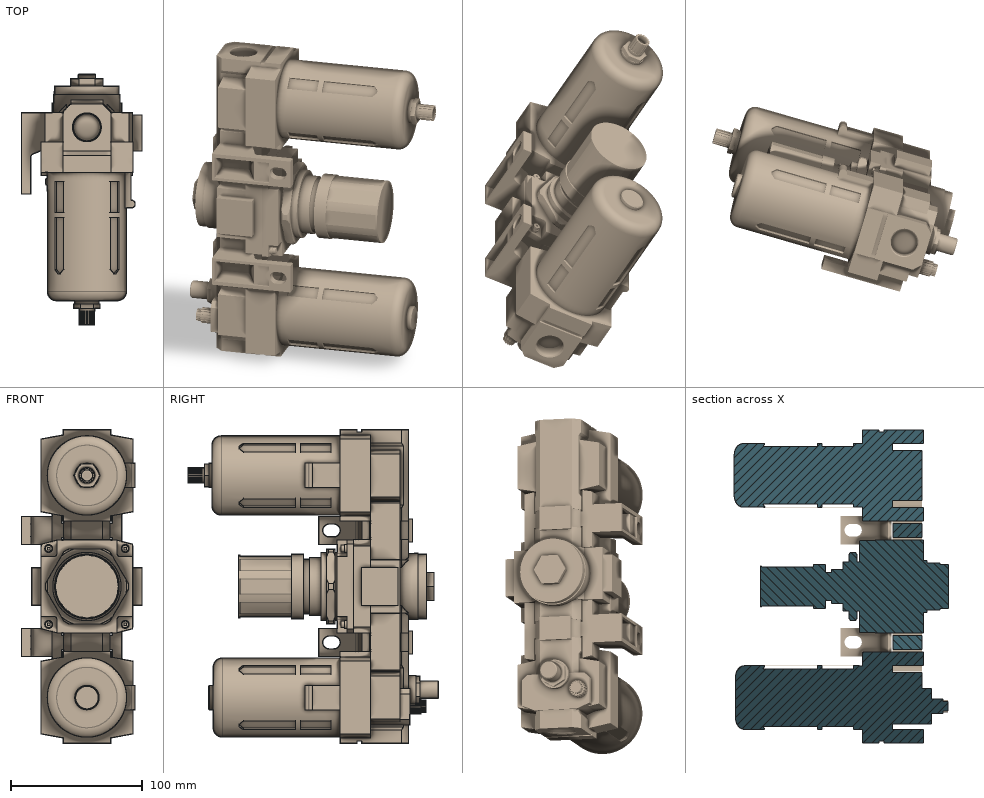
import cadquery as cq
import math


TOTAL_HEIGHT = 238.5
MODULE_HEIGHT = 69.5
SPACER_HEIGHT = 14.0
MODULE_HALF = MODULE_HEIGHT / 2
MODULE_Z = TOTAL_HEIGHT / 2 - MODULE_HALF
REGULATOR_HALF = TOTAL_HEIGHT / 2 - MODULE_HEIGHT - SPACER_HEIGHT
SPACER_Z = REGULATOR_HALF + SPACER_HEIGHT / 2

BODY_HALF_WIDTH = 35.0
DECK_Y = 23.1
SIDE_BLOCK_BACK_Y = 45.5
BACK_Y = 52.0
PORT_Y = 34.3
FLANGE_HALF_WIDTH = 18.0
BACK_CHAMFER = 5.5

BLOCK_SIDE_HALF = 27.7
BLOCK_SHOULDER_HALF = 30.8
SIDE_BLOCK_HALF_WIDTH = 32.0
SIDE_BLOCK_HALF = 16.5
SIDE_BLOCK_INNER_HALF = 19.3
NECK_HALF_WIDTH = 16.7
NECK_HALF = 22.5
UNDERCUT_RISE = 2.5
PORT_DIAMETER = 20.5
PORT_MOUTH_DIAMETER = 22.0
PORT_DEPTH = 10.0
NOTCH_Y = (12.9, 16.2)
NOTCH_DEPTH = 1.7

BOWL_DIAMETER = 60.3
BOWL_ROUND = 7.2
FILTER_BOWL_LENGTH = 97.5
LUBRICATOR_BOWL_LENGTH = 96.5
WINDOW_WIDTH = 9.3
WINDOW_FLOOR_RADIUS = 28.1
WINDOW_POINT = 3.3
WINDOW_TIP_WIDTH = 2.0
SHORT_WINDOW_Y = (-30.3, -7.0)
LONG_WINDOW_Y = (-77.0, -34.0)

LATCH_HALF_HEIGHT = 9.3
LATCH_INNER_X = 28.8
LATCH_OUTER_X = 33.5
LATCH_LIP_X = 36.7
LATCH_LENGTH = 27.0
LATCH_LIP_LENGTH = 6.0
LATCH_LIP_ROUND = 2.9

DRAIN_COLLAR_DIAMETER = 18.5
DRAIN_COLLAR_END = -100.0
DRAIN_HEX_FLATS = 17.5
DRAIN_HEX_END = -103.2
DRAIN_DIAMETER = 12.0
DRAIN_KNURL_START = -105.1
DRAIN_END = -115.9
DRAIN_BORE_DIAMETER = 8.5
DRAIN_BORE_DEPTH = 4.8
KNURL_COUNT = 16
KNURL_WIDTH = 1.0
KNURL_DEPTH = 0.7

BOWL_BOSS_DIAMETER = 18.5
BOWL_BOSS_END = -100.1
BOWL_BOSS_CHAMFER = 0.7
PAD_HALF_WIDTH = 26.5
PAD_BACK_Y = 53.0
PAD_TOP = 7.0
PAD_TOP_SIDE = 2.9
PAD_TOP_HALF_WIDTH = 22.5
PAD_BOTTOM_SIDE = -16.7
PAD_BOTTOM = -20.7
SIGHT_OFFSET = 6.0
SIGHT_BASE_DIAMETER = 22.0
SIGHT_BASE_END = 57.5
SIGHT_HEX_CORNERS = 20.5
SIGHT_HEX_END = 60.5
SIGHT_DIAMETER = 13.4
SIGHT_END = 74.9
SIGHT_CHAMFER = 0.7
DIAL_X = -19.0
DIAL_OFFSET = -6.7
DIAL_BASE_DIAMETER = 12.0
DIAL_BASE_END = 61.5
DIAL_DIAMETER = 9.5
DIAL_END = 65.3

REGULATOR_BLOCK_HALF = 30.8
COVER_SETBACK = 0.2
BONNET_FRONT_Y = -2.5
BONNET_BACK_Y = 10.0
BONNET_SIDE_HALF = 32.2
BONNET_TOP_HALF_WIDTH = 22.5
REGULATOR_SIDE_HALF = 20.0
REGULATOR_NECK_HALF_WIDTH = 20.7
LUG_REACH = 42.0
LUG_HALF_HEIGHT = 14.3
LUG_Y = (16.2, 43.9)
CAP_BASE_DIAMETER = 50.5
CAP_BASE_END = 59.1
CAP_DIAMETER = 49.0
CAP_END = 65.5
CAP_HEX_FLATS = 21.5
CAP_HEX_END = 71.3
CORNER_POCKET_X = 23.0
CORNER_POCKET_Z = 22.6
CORNER_POCKET_FLOOR_Y = 5.2
CORNER_POCKET_ROUND = 2.5
SCREW_X = 29.0
SCREW_Z = 28.8
SCREW_DIAMETER = 6.0
SCREW_TIP_DIAMETER = 5.0
SCREW_HEIGHT = 4.8
SCREW_TIP_HEIGHT = 2.6
SCREW_SOCKET = 2.0
SCREW_SOCKET_DEPTH = 1.5
SEAT_DIAMETER = 52.0
NUT_FLATS = 56.7
NUT_ROUND_DIAMETER = 63.2
NUT_CHAMFER = 1.5
NUT_FRONT_Y = -10.3
NUT_BACK_Y = -3.8
COLLAR_END = -14.8
SLEEVE_DIAMETER = 44.3
SLEEVE_END = -23.4
GROOVE_DIAMETER = 41.5
GROOVE_END = -28.0
KNOB_RIM_DIAMETER = 49.0
KNOB_RIM_END = -37.2
KNOB_DIAMETER = 47.7
KNOB_END = -77.5
KNOB_LIP = 1.2
KNOB_FLAT_COUNT = 8
KNOB_FLAT_RADIUS = 23.1

BRACKET_HALF_HEIGHT = 10.7
ARM_OUTER_X = -49.8
ARM_INNER_X = -42.7
ARM_END_Y = -16.5
BRIDGE_FRONT_Y = 13.4
BRIDGE_SLOPE = 0.4
BRIDGE_ROUND = 2.9
CLAMP_OUTER = 26.5
CLAMP_INNER = 19.0
CLAMP_MODULE_END = 20.7
CLAMP_MODULE_INNER_END = 22.2
CLAMP_REGULATOR_END = 22.0
SPACER_HALF_WIDTH = 17.6
SPACER_FLAT_HALF_WIDTH = 12.0
WEB_HALF_HEIGHT = 5.5
BACK_PLATE_HALF_WIDTH = 12.2
BACK_PLATE_HALF_HEIGHT = 8.8
BACK_PLATE_Y = 55.0
ARM_WINDOW_Z = (-8.5, 7.9)
ARM_WINDOW_Y = (0.5, 43.5)
ARM_WINDOW_SHELF_Y = 12.6
ARM_WINDOW_SHELF_DEPTH = 2.0
ARM_WINDOW_DEEP_Y = 22.5
SLOT_Y = -6.7
SLOT_LENGTH = 13.0
SLOT_WIDTH = 9.5


def xz_plane(y):
    """Sketch plane at the given Y: local x is X, local y is Z, extrusion runs towards -Y."""
    return cq.Workplane("XZ", origin=(0, y, 0))


def box(x_range, y_range, z_range):
    lengths = [high - low for low, high in (x_range, y_range, z_range)]
    corner = (x_range[0], y_range[0], z_range[0])
    return cq.Workplane("XY").box(*lengths, centered=False).translate(corner)


def symmetric_box(half_width, y_range, half_height):
    return box((-half_width, half_width), y_range, (-half_height, half_height))


def rod(diameter, y_range, z=0.0):
    front, back = y_range
    return xz_plane(back).center(0, z).circle(diameter / 2).extrude(back - front)


def hexagon(corner_diameter, y_range, z=0.0, turn=0.0):
    """Hexagonal prism along Y; with no turn, two of its corners lie on +X and -X."""
    front, back = y_range
    prism = xz_plane(back).polygon(6, corner_diameter).extrude(back - front)
    return prism.rotate((0, 0, 0), (0, 1, 0), turn).translate((0, 0, z))


def hex_corners(flats):
    return flats / math.cos(math.pi / 6)


def four_way(quarter):
    """Full outline from its points in the +X +Z quarter, listed from the X side to the Z side."""
    upper_left = [(-x, z) for x, z in reversed(quarter)]
    lower_left = [(-x, -z) for x, z in quarter]
    lower_right = [(x, -z) for x, z in reversed(quarter)]
    return quarter + upper_left + lower_left + lower_right


def prism_y(points, y_range):
    front, back = y_range
    return xz_plane(back).polyline(points).close().extrude(back - front)


def passage_block(half_width, front_y, half_height, chamfer=BACK_CHAMFER):
    """Block around the air passage with its two long back edges chamfered."""
    block = symmetric_box(half_width, (front_y, BACK_Y), half_height)
    return block.faces(">Y").edges("|Z").chamfer(chamfer)


def knurl_grooves(diameter, y_range, z=0.0):
    """Straight grooves around a rod, as one cutting tool."""
    groove = box(
        (diameter / 2 - KNURL_DEPTH, diameter),
        y_range,
        (-KNURL_WIDTH / 2, KNURL_WIDTH / 2),
    )
    grooves = cq.Workplane("XY")
    for index in range(KNURL_COUNT):
        turned = groove.rotate((0, 0, 0), (0, 1, 0), index * 360 / KNURL_COUNT)
        grooves = grooves.add(turned)
    return grooves.combine().translate((0, 0, z))


def module_body(outer_side):
    """Body on the module's own axis; outer_side is +1 or -1, the Z end that carries the port."""
    wide_block = prism_y(
        four_way([
            (BODY_HALF_WIDTH, BLOCK_SIDE_HALF),
            (FLANGE_HALF_WIDTH, BLOCK_SHOULDER_HALF),
            (FLANGE_HALF_WIDTH, MODULE_HALF),
        ]),
        (0, DECK_Y),
    )
    passage = passage_block(FLANGE_HALF_WIDTH, DECK_Y, MODULE_HALF)
    for side in (-1, 1):
        undercut = [
            (side * NECK_HALF_WIDTH, NECK_HALF),
            (side * FLANGE_HALF_WIDTH, NECK_HALF + UNDERCUT_RISE),
            (side * FLANGE_HALF_WIDTH, -NECK_HALF - UNDERCUT_RISE),
            (side * NECK_HALF_WIDTH, -NECK_HALF),
        ]
        passage = passage.cut(prism_y(undercut, (DECK_Y, BACK_Y)))
    side_block = prism_y(
        four_way([
            (SIDE_BLOCK_HALF_WIDTH, SIDE_BLOCK_HALF),
            (NECK_HALF_WIDTH, SIDE_BLOCK_INNER_HALF),
        ]),
        (DECK_Y, SIDE_BLOCK_BACK_Y),
    )
    body = wide_block.union(passage).union(side_block)
    return body.cut(port(outer_side)).cut(notch(outer_side))


def port(outer_side):
    mouth_depth = (PORT_MOUTH_DIAMETER - PORT_DIAMETER) / 2
    half_section = [
        (0, MODULE_HALF - PORT_DEPTH),
        (PORT_DIAMETER / 2, MODULE_HALF - PORT_DEPTH),
        (PORT_DIAMETER / 2, MODULE_HALF - mouth_depth),
        (PORT_MOUTH_DIAMETER / 2, MODULE_HALF),
        (0, MODULE_HALF),
    ]
    points = [(x, outer_side * z) for x, z in half_section]
    section = cq.Workplane("XZ").polyline(points).close()
    return section.revolve(360, (0, 0), (0, 1)).translate((0, PORT_Y, 0))


def notch(outer_side):
    """Shallow groove across the outer flange end."""
    ends = sorted((outer_side * (MODULE_HALF - NOTCH_DEPTH), outer_side * MODULE_HALF))
    return box((-FLANGE_HALF_WIDTH, FLANGE_HALF_WIDTH), NOTCH_Y, ends)


def bowl(length):
    shell = rod(BOWL_DIAMETER, (-length, 0)).faces("<Y").edges().fillet(BOWL_ROUND)
    half = WINDOW_WIDTH / 2
    long_front, long_back = LONG_WINDOW_Y
    pointed = [
        (-half, long_back),
        (half, long_back),
        (half, long_front + WINDOW_POINT),
        (WINDOW_TIP_WIDTH / 2, long_front),
        (-WINDOW_TIP_WIDTH / 2, long_front),
        (-half, long_front + WINDOW_POINT),
    ]
    short_window = box(
        (-half, half), SHORT_WINDOW_Y, (WINDOW_FLOOR_RADIUS, BOWL_DIAMETER)
    )
    floor = cq.Workplane("XY", origin=(0, 0, WINDOW_FLOOR_RADIUS))
    long_window = floor.polyline(pointed).close().extrude(BOWL_DIAMETER)
    for angle in (45, 135, 225, 315):
        for window in (short_window, long_window):
            shell = shell.cut(window.rotate((0, 0, 0), (0, 1, 0), angle))
    return shell


def latch():
    heights = (-LATCH_HALF_HEIGHT, LATCH_HALF_HEIGHT)
    arm_bar = box((LATCH_INNER_X, LATCH_OUTER_X), (-LATCH_LENGTH, 0), heights)
    lip = box(
        (LATCH_INNER_X, LATCH_LIP_X),
        (-LATCH_LENGTH, LATCH_LIP_LENGTH - LATCH_LENGTH),
        heights,
    )
    return arm_bar.union(lip.faces(">X").edges("|Z").fillet(LATCH_LIP_ROUND))


def drain():
    knurled = (DRAIN_END, DRAIN_KNURL_START)
    stem = rod(DRAIN_DIAMETER, (DRAIN_END, DRAIN_HEX_END))
    stem = stem.cut(knurl_grooves(DRAIN_DIAMETER, knurled))
    stem = stem.cut(rod(DRAIN_BORE_DIAMETER, (DRAIN_END, DRAIN_END + DRAIN_BORE_DEPTH)))
    collar = rod(DRAIN_COLLAR_DIAMETER, (DRAIN_COLLAR_END, -FILTER_BOWL_LENGTH))
    nut = hexagon(hex_corners(DRAIN_HEX_FLATS), (DRAIN_HEX_END, DRAIN_COLLAR_END))
    return collar.union(nut).union(stem)


def make_filter():
    solid = module_body(1).union(bowl(FILTER_BOWL_LENGTH)).union(latch()).union(drain())
    return solid.translate((0, 0, MODULE_Z))


def adjuster_pad():
    """Raised pad on the back of the lubricator that carries the sight dome and the dial."""
    right = [
        (NECK_HALF_WIDTH, PAD_BOTTOM),
        (PAD_HALF_WIDTH, PAD_BOTTOM_SIDE),
        (PAD_HALF_WIDTH, PAD_TOP_SIDE),
        (PAD_TOP_HALF_WIDTH, PAD_TOP),
    ]
    left = [(-x, z) for x, z in reversed(right)]
    return prism_y(right + left, (DECK_Y, PAD_BACK_Y))


def sight_dome():
    base = rod(SIGHT_BASE_DIAMETER, (DECK_Y, SIGHT_BASE_END), SIGHT_OFFSET)
    nut = hexagon(SIGHT_HEX_CORNERS, (SIGHT_BASE_END, SIGHT_HEX_END), SIGHT_OFFSET, turn=90)
    dome = rod(SIGHT_DIAMETER, (SIGHT_HEX_END, SIGHT_END), SIGHT_OFFSET)
    return base.union(nut).union(dome.faces(">Y").chamfer(SIGHT_CHAMFER))


def dial():
    base = rod(DIAL_BASE_DIAMETER, (DECK_Y, DIAL_BASE_END), DIAL_OFFSET)
    tip = rod(DIAL_DIAMETER, (DIAL_BASE_END, DIAL_END), DIAL_OFFSET)
    grooves = knurl_grooves(DIAL_DIAMETER, (DIAL_BASE_END, DIAL_END), DIAL_OFFSET)
    base_grooves = knurl_grooves(DIAL_BASE_DIAMETER, (PAD_BACK_Y, DIAL_BASE_END), DIAL_OFFSET)
    return base.cut(base_grooves).union(tip.cut(grooves)).translate((DIAL_X, 0, 0))


def make_lubricator():
    boss = rod(BOWL_BOSS_DIAMETER, (BOWL_BOSS_END, -LUBRICATOR_BOWL_LENGTH))
    boss = boss.faces("<Y").chamfer(BOWL_BOSS_CHAMFER)
    solid = module_body(-1).union(bowl(LUBRICATOR_BOWL_LENGTH)).union(boss).union(latch())
    solid = solid.union(adjuster_pad()).union(dial()).union(sight_dome())
    return solid.translate((0, 0, -MODULE_Z))


def regulator_body():
    cover_half_width = BODY_HALF_WIDTH - COVER_SETBACK
    wide_block = symmetric_box(BODY_HALF_WIDTH, (BONNET_BACK_Y, DECK_Y), REGULATOR_BLOCK_HALF)
    bonnet = prism_y(
        four_way([
            (cover_half_width, BONNET_SIDE_HALF),
            (BONNET_TOP_HALF_WIDTH, REGULATOR_HALF - COVER_SETBACK),
        ]),
        (BONNET_FRONT_Y, BONNET_BACK_Y),
    )
    side_block = symmetric_box(cover_half_width, (DECK_Y, SIDE_BLOCK_BACK_Y), REGULATOR_SIDE_HALF)
    lugs = symmetric_box(LUG_REACH, LUG_Y, LUG_HALF_HEIGHT)
    flanges = passage_block(FLANGE_HALF_WIDTH, BONNET_BACK_Y, REGULATOR_HALF)
    neck = passage_block(REGULATOR_NECK_HALF_WIDTH, DECK_Y, REGULATOR_SIDE_HALF)
    return wide_block.union(bonnet).union(side_block).union(lugs).union(flanges).union(neck)


def rear_cap():
    base = rod(CAP_BASE_DIAMETER, (DECK_Y, CAP_BASE_END))
    cap = rod(CAP_DIAMETER, (CAP_BASE_END, CAP_END))
    plug = hexagon(hex_corners(CAP_HEX_FLATS), (CAP_END, CAP_HEX_END))
    return base.union(cap).union(plug)


def corner_pocket():
    pocket = box(
        (CORNER_POCKET_X, LUG_REACH),
        (BONNET_FRONT_Y, CORNER_POCKET_FLOOR_Y),
        (CORNER_POCKET_Z, LUG_REACH),
    )
    return pocket.edges("|Y").edges("<X and <Z").fillet(CORNER_POCKET_ROUND)


def corner_screw():
    top = CORNER_POCKET_FLOOR_Y - SCREW_HEIGHT
    shoulder = top + SCREW_TIP_HEIGHT
    head = rod(SCREW_DIAMETER, (shoulder, CORNER_POCKET_FLOOR_Y))
    tip = rod(SCREW_TIP_DIAMETER, (top, shoulder))
    half_socket = SCREW_SOCKET / 2
    socket = symmetric_box(half_socket, (top, top + SCREW_SOCKET_DEPTH), half_socket)
    return head.union(tip).cut(socket).translate((SCREW_X, 0, SCREW_Z))


def lock_nut():
    nut = hexagon(hex_corners(NUT_FLATS), (NUT_FRONT_Y, NUT_BACK_Y))
    turned_blank = rod(NUT_ROUND_DIAMETER, (NUT_FRONT_Y, NUT_BACK_Y)).edges().chamfer(NUT_CHAMFER)
    return nut.intersect(turned_blank)


def knob():
    grip = rod(KNOB_DIAMETER, (KNOB_END, KNOB_RIM_END))
    flat_cut = box(
        (KNOB_FLAT_RADIUS, KNOB_DIAMETER),
        (KNOB_END + KNOB_LIP, KNOB_RIM_END),
        (-KNOB_DIAMETER, KNOB_DIAMETER),
    )
    for index in range(KNOB_FLAT_COUNT):
        turn = index * 360 / KNOB_FLAT_COUNT
        grip = grip.cut(flat_cut.rotate((0, 0, 0), (0, 1, 0), turn))
    return grip.union(rod(KNOB_RIM_DIAMETER, (KNOB_RIM_END, GROOVE_END)))


def make_regulator():
    solid = regulator_body().union(rear_cap())
    pocket = corner_pocket()
    screw = corner_screw()
    for mirror_planes in ((), ("YZ",), ("XY",), ("YZ", "XY")):
        corner_cut = pocket
        corner_add = screw
        for plane in mirror_planes:
            corner_cut = corner_cut.mirror(plane)
            corner_add = corner_add.mirror(plane)
        solid = solid.cut(corner_cut).union(corner_add)
    solid = solid.union(rod(SEAT_DIAMETER, (COLLAR_END, BONNET_FRONT_Y))).union(lock_nut())
    solid = solid.union(rod(SLEEVE_DIAMETER, (SLEEVE_END, COLLAR_END)))
    solid = solid.union(rod(GROOVE_DIAMETER, (GROOVE_END, SLEEVE_END)))
    return solid.union(knob())


def spacer():
    """Octagonal core between two bodies, with a clamp cheek on each side and a back plate."""
    corner = SPACER_HALF_WIDTH - SPACER_FLAT_HALF_WIDTH
    core_depth = BACK_Y - PORT_Y
    core = symmetric_box(SPACER_HALF_WIDTH, (PORT_Y - core_depth, BACK_Y), SPACER_HEIGHT / 2)
    core = core.edges("|Z").chamfer(corner)
    web = symmetric_box(CLAMP_OUTER, (DECK_Y, SIDE_BLOCK_BACK_Y), WEB_HALF_HEIGHT)
    cheek_outline = [
        (CLAMP_INNER, -CLAMP_REGULATOR_END),
        (CLAMP_OUTER, -CLAMP_REGULATOR_END),
        (CLAMP_OUTER, CLAMP_MODULE_END),
        (CLAMP_INNER, CLAMP_MODULE_INNER_END),
    ]
    cheek = prism_y(cheek_outline, (DECK_Y, SIDE_BLOCK_BACK_Y))
    cheeks = cheek.union(cheek.mirror("YZ"))
    plate = symmetric_box(BACK_PLATE_HALF_WIDTH, (BACK_Y, BACK_PLATE_Y), BACK_PLATE_HALF_HEIGHT)
    return core.union(web).union(cheeks).union(plate)


def arm():
    """Bridge from the clamp to a slotted wall plate on the -X side, hollowed from outside."""
    bridge_end_y = BRIDGE_FRONT_Y + BRIDGE_SLOPE * (-CLAMP_OUTER - ARM_INNER_X)
    outline = [
        (ARM_OUTER_X, SIDE_BLOCK_BACK_Y),
        (ARM_OUTER_X, ARM_END_Y),
        (ARM_INNER_X, ARM_END_Y),
        (ARM_INNER_X, BRIDGE_FRONT_Y),
        (-CLAMP_OUTER, bridge_end_y),
        (-CLAMP_OUTER, SIDE_BLOCK_BACK_Y),
    ]
    solid = cq.Workplane("XY").polyline(outline).close().extrude(BRACKET_HALF_HEIGHT, both=True)
    inner_corner = cq.selectors.NearestToPointSelector((ARM_INNER_X, BRIDGE_FRONT_Y, 0))
    solid = solid.edges(inner_corner).fillet(BRIDGE_ROUND)

    window_front, window_back = ARM_WINDOW_Y
    shelf_x = ARM_OUTER_X + ARM_WINDOW_SHELF_DEPTH
    window_outline = [
        (ARM_OUTER_X, window_back),
        (ARM_OUTER_X, window_front),
        (shelf_x, window_front),
        (shelf_x, ARM_WINDOW_SHELF_Y),
        (-CLAMP_OUTER, ARM_WINDOW_DEEP_Y),
        (-CLAMP_OUTER, window_back),
    ]
    window_bottom, window_top = ARM_WINDOW_Z
    window_plane = cq.Workplane("XY", origin=(0, 0, window_bottom))
    window = window_plane.polyline(window_outline).close().extrude(window_top - window_bottom)
    slot = cq.Workplane("YZ", origin=(ARM_OUTER_X, 0, 0)).center(SLOT_Y, 0)
    slot = slot.slot2D(SLOT_LENGTH, SLOT_WIDTH).extrude(ARM_INNER_X - ARM_OUTER_X)
    return solid.cut(window).cut(slot)


def make_bracket(side):
    """Bracket above (side = 1) or below (side = -1) the regulator; the lower one is a mirror image."""
    upper = spacer().union(arm()).translate((0, 0, SPACER_Z))
    return upper if side > 0 else upper.mirror("XY")


filter_unit = make_filter()
regulator = make_regulator()
lubricator = make_lubricator()
brackets = [make_bracket(side) for side in (-1, 1)]

result = cq.Compound.makeCompound([
    filter_unit.val(),
    regulator.val(),
    lubricator.val(),
    *[bracket.val() for bracket in brackets],
])